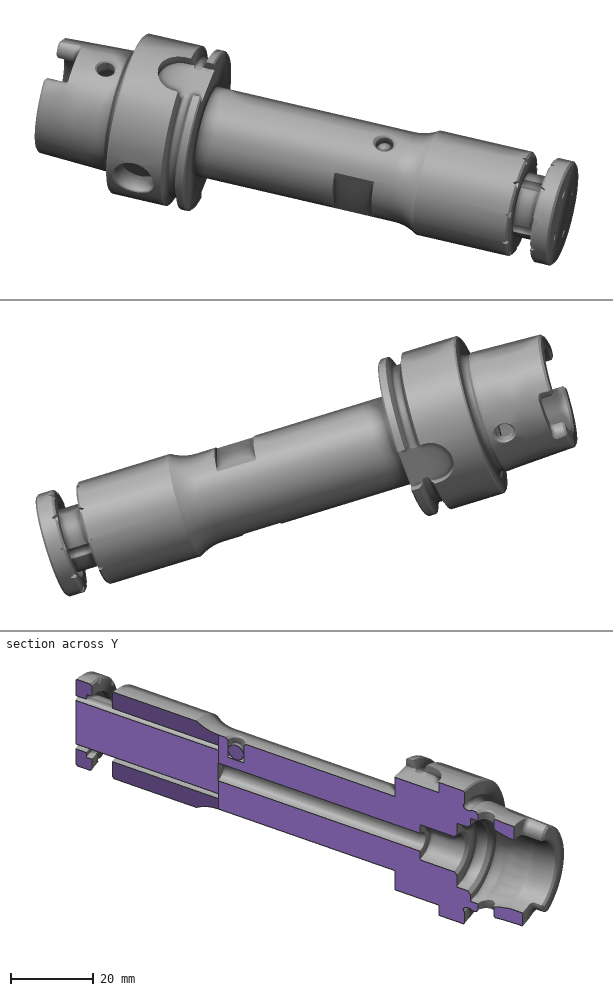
import cadquery as cq
import math

TAPER_END = 18.5
FLANGE_START = 20.0
FLANGE_END = 39.9
SHANK_END = 89.8
FLARE_END = 96.1
SLEEVE_END = 120.0
RING_START = 125.7
OVERALL_LENGTH = 130.4

TAPER_FRONT_R = 14.3
TAPER_REAR_R = 15.1
RELIEF_R = 14.7
FACE_RELIEF_R = 16.3
FACE_RELIEF_DEPTH = 0.4
RELIEF_FILLET = 1.0
EDGE_CHAMFER = 0.5

FLANGE_DIAMETER = 40.0
FLANGE_R = FLANGE_DIAMETER / 2
FLANGE_CHAMFER = 0.4
GROOVE_R = 17.5
GROOVE_CENTER = 35.9
GROOVE_BOTTOM_WIDTH = 1.8
GROOVE_TOP_WIDTH = 3.9
GROOVE_FILLET = 0.4

BORE_R = 10.4
BORE_END = 7.3
UNDERCUT_START = 15.1
UNDERCUT_END = 18.3
UNDERCUT_R = 12.4
SEAT_R = 9.5
SEAT_CHAMFER = BORE_R - SEAT_R
CAVITY_END = 22.2
SCREW_BORE_R = 5.2
SCREW_BORE_CHAMFER = 0.8
SCREW_BORE_END = 32.6
COOLANT_R = 2.6

KEYWAY_HALF_WIDTH = 4.0
KEYWAY_LIP_R = 2.7
KEYWAY_LIP_TOP = 12.9
KEYWAY_CORNER_R = 1.0
TOP_KEYWAY_DEPTH = 6.0
BOTTOM_KEYWAY_DEPTH = 3.5

CROSS_HOLE_X = 14.0
CROSS_HOLE_R = 2.2
COUNTERSINK = 0.7
BALL_X = 84.9
BALL_HOLE_BOTTOM = 5.5

FLANGE_SLOT_R = 5.5
FLANGE_SLOT_FLOOR = 17.0
FLANGE_SLOT_START = 27.4
CHIP_X = 26.9
CHIP_R = 5.1
CHIP_DEPTH = 5.7
CHIP_CHAMFER = 0.3

SHANK_R = 11.2
FLAT_START = 74.8
FLAT_LENGTH = 10.0
FLAT_HALF_WIDTH = 9.0

SLEEVE_R = 13.0
SLEEVE_CHAMFER = 0.5
SPINDLE_R = 8.0
SPINDLE_GROOVE_WIDTH = 2.7
SPINDLE_GROOVE_R = SPINDLE_GROOVE_WIDTH / 2
SPINDLE_GROOVES = 4
RING_RECESS_R = 9.4
RING_RECESS_DEPTH = 1.5
NOTCHES = 10
NOTCH_WIDTH = 1.5
NOTCH_DEPTH = 1.3


def revolve_about_x(profile):
    """Solid of revolution about X from a closed outline of axial and radial positions."""
    return profile.close().revolve(360, (0, 0, 0), (1, 0, 0))


def cylinder_along_x(radius, start, end):
    return cq.Workplane("YZ", origin=(start, 0, 0)).circle(radius).extrude(end - start)


def to_bottom(tool):
    """Turn a cutting tool from the +Z side to the -Z side."""
    return tool.rotate((0, 0, 0), (1, 0, 0), 180)


def holder_blank():
    """Taper, flange and shank outline turned in one piece."""
    relief_end = FLANGE_START + FACE_RELIEF_DEPTH
    fillet_offset = RELIEF_FILLET * (1 - math.sqrt(0.5))
    fillet_middle = (relief_end - fillet_offset, RELIEF_R + fillet_offset)
    profile = (
        cq.Workplane("XY")
        .moveTo(0, 0)
        .lineTo(0, TAPER_FRONT_R)
        .lineTo(TAPER_END - EDGE_CHAMFER, TAPER_REAR_R)
        .lineTo(TAPER_END, RELIEF_R)
        .lineTo(relief_end - RELIEF_FILLET, RELIEF_R)
        .threePointArc(fillet_middle, (relief_end, RELIEF_R + RELIEF_FILLET))
        .lineTo(FLANGE_START, FACE_RELIEF_R)
        .lineTo(FLANGE_START, FLANGE_R - FLANGE_CHAMFER)
        .lineTo(FLANGE_START + FLANGE_CHAMFER, FLANGE_R)
        .lineTo(FLANGE_END - FLANGE_CHAMFER, FLANGE_R)
        .lineTo(FLANGE_END, FLANGE_R - FLANGE_CHAMFER)
        .lineTo(FLANGE_END, SHANK_R)
        .lineTo(SHANK_END, SHANK_R)
        .lineTo(SHANK_END, 0)
    )
    return revolve_about_x(profile)


def gripper_groove():
    """V-shaped ring groove with a flat bottom and small rounded bottom corners."""
    bottom_half = GROOVE_BOTTOM_WIDTH / 2
    top_half = GROOVE_TOP_WIDTH / 2
    profile = (
        cq.Workplane("XY")
        .moveTo(GROOVE_CENTER - bottom_half, GROOVE_R)
        .lineTo(GROOVE_CENTER + bottom_half, GROOVE_R)
        .lineTo(GROOVE_CENTER + top_half, FLANGE_R)
        .lineTo(GROOVE_CENTER - top_half, FLANGE_R)
    )
    groove = revolve_about_x(profile)
    bottom_edges = cq.selectors.RadiusNthSelector(0)
    return groove.edges(bottom_edges).fillet(GROOVE_FILLET)


def clamping_cavity():
    """Stepped cavity with an undercut, ending in a coolant channel through the shank."""
    profile = (
        cq.Workplane("XY")
        .moveTo(0, 0)
        .lineTo(0, BORE_R)
        .lineTo(BORE_END, BORE_R)
        .lineTo(UNDERCUT_START, UNDERCUT_R)
        .lineTo(UNDERCUT_END, UNDERCUT_R)
        .lineTo(UNDERCUT_END, BORE_R)
        .lineTo(UNDERCUT_END + SEAT_CHAMFER, SEAT_R)
        .lineTo(CAVITY_END, SEAT_R)
        .lineTo(CAVITY_END, SCREW_BORE_R + SCREW_BORE_CHAMFER)
        .lineTo(CAVITY_END + SCREW_BORE_CHAMFER, SCREW_BORE_R)
        .lineTo(SCREW_BORE_END, SCREW_BORE_R)
        .lineTo(SCREW_BORE_END, COOLANT_R)
        .lineTo(SHANK_END, COOLANT_R)
        .lineTo(SHANK_END, 0)
    )
    return revolve_about_x(profile)


def keyway(depth):
    """Keyway at +Z whose side walls round outwards into the outside of the taper."""
    lip_start = KEYWAY_LIP_TOP - KEYWAY_LIP_R
    lip_half_width = KEYWAY_HALF_WIDTH + KEYWAY_LIP_R
    arc_offset = KEYWAY_LIP_R * (1 - math.sqrt(0.5))
    arc_y = KEYWAY_HALF_WIDTH + arc_offset
    arc_z = KEYWAY_LIP_TOP - arc_offset
    outer_half_width = TAPER_REAR_R
    tool = (
        cq.Workplane("YZ")
        .moveTo(-KEYWAY_HALF_WIDTH, 0)
        .lineTo(KEYWAY_HALF_WIDTH, 0)
        .lineTo(KEYWAY_HALF_WIDTH, lip_start)
        .threePointArc((arc_y, arc_z), (lip_half_width, KEYWAY_LIP_TOP))
        .lineTo(outer_half_width, KEYWAY_LIP_TOP)
        .lineTo(outer_half_width, FLANGE_R)
        .lineTo(-outer_half_width, FLANGE_R)
        .lineTo(-outer_half_width, KEYWAY_LIP_TOP)
        .lineTo(-lip_half_width, KEYWAY_LIP_TOP)
        .threePointArc((-arc_y, arc_z), (-KEYWAY_HALF_WIDTH, lip_start))
        .close()
        .extrude(depth)
    )
    side_walls = cq.selectors.BoxSelector(
        (depth - EDGE_CHAMFER, -lip_half_width, lip_start / 4),
        (depth + EDGE_CHAMFER, lip_half_width, KEYWAY_LIP_TOP),
    )
    return tool.edges(side_walls).fillet(KEYWAY_CORNER_R)


def countersunk_hole(x, bottom, surface_radius):
    """Hole along Z whose countersink opens at the given surface radius."""
    profile = (
        cq.Workplane("XZ", origin=(x, 0, 0))
        .moveTo(0, bottom)
        .lineTo(CROSS_HOLE_R, bottom)
        .lineTo(CROSS_HOLE_R, surface_radius - COUNTERSINK)
        .lineTo(CROSS_HOLE_R + COUNTERSINK, surface_radius)
        .lineTo(0, surface_radius)
        .close()
    )
    return profile.revolve(360, (0, 0, 0), (0, 1, 0))


def flange_slot():
    """Round-ended slot at +Z that runs out through the shank side of the flange."""
    arc_center = FLANGE_SLOT_START + FLANGE_SLOT_R
    length = FLANGE_END - arc_center
    height = FLANGE_R - FLANGE_SLOT_FLOOR
    base = cq.Workplane("XY", origin=(arc_center, 0, FLANGE_SLOT_FLOOR))
    rounded_end = base.circle(FLANGE_SLOT_R).extrude(height)
    straight_part = base.center(length / 2, 0).rect(length, 2 * FLANGE_SLOT_R).extrude(height)
    return rounded_end.union(straight_part)


def chip_recess():
    """Flat-bottomed round recess on the -Y side of the flange."""
    return (
        cq.Workplane("XZ", origin=(CHIP_X, CHIP_DEPTH - FLANGE_R, 0))
        .circle(CHIP_R)
        .extrude(CHIP_DEPTH)
    )


def wrench_flat(side):
    """Material outside one of the two wrench flats; side is +1 for +Y and -1 for -Y."""
    depth = SHANK_R - FLAT_HALF_WIDTH
    center = (FLAT_START + FLAT_LENGTH / 2, side * (FLAT_HALF_WIDTH + depth / 2), 0)
    return cq.Workplane("XY", origin=center).box(FLAT_LENGTH, depth, 2 * SHANK_R)


def make_holder():
    """Tool holder with its taper, flange and shank features cut into the turned blank."""
    holder = holder_blank().cut(gripper_groove()).cut(clamping_cavity())
    holder = holder.cut(keyway(TOP_KEYWAY_DEPTH))
    holder = holder.cut(to_bottom(keyway(BOTTOM_KEYWAY_DEPTH)))
    holder = holder.faces("<X").edges().chamfer(EDGE_CHAMFER)
    taper_slope = (TAPER_REAR_R - TAPER_FRONT_R) / TAPER_END
    taper_radius = TAPER_FRONT_R + taper_slope * (CROSS_HOLE_X + CROSS_HOLE_R + COUNTERSINK)
    cross_hole = countersunk_hole(CROSS_HOLE_X, 0, taper_radius)
    holder = holder.cut(cross_hole).cut(to_bottom(cross_hole))
    holder = holder.cut(flange_slot()).cut(to_bottom(flange_slot()))
    holder = holder.cut(chip_recess())
    chip_mouth = cq.selectors.NearestToPointSelector((CHIP_X, -FLANGE_R, 0))
    holder = holder.edges(chip_mouth).chamfer(CHIP_CHAMFER)
    for side in (1, -1):
        holder = holder.cut(wrench_flat(side))
    return holder.cut(countersunk_hole(BALL_X, BALL_HOLE_BOTTOM, SHANK_R))


def make_ball():
    """Ball resting on the bottom of its hole in the shank."""
    center = (BALL_X, 0, BALL_HOLE_BOTTOM + CROSS_HOLE_R)
    return cq.Workplane("XY", origin=center).sphere(CROSS_HOLE_R)


def cut_notches(body, face_x, direction):
    """V notches around the rim of an end face; direction is the way they enter along X."""
    notch = (
        cq.Workplane("XZ", origin=(face_x, NOTCH_DEPTH - SLEEVE_R, 0))
        .moveTo(0, -NOTCH_WIDTH / 2)
        .lineTo(direction * NOTCH_DEPTH, 0)
        .lineTo(0, NOTCH_WIDTH / 2)
        .close()
        .extrude(NOTCH_DEPTH)
    )
    for index in range(NOTCHES):
        angle = index * 360 / NOTCHES
        body = body.cut(notch.rotate((0, 0, 0), (1, 0, 0), angle))
    return body


def make_sleeve():
    """Bored sleeve that flares from the shank radius through a tangent arc."""
    flare_length = FLARE_END - SHANK_END
    flare_rise = SLEEVE_R - SHANK_R
    flare_radius = (flare_length**2 + flare_rise**2) / (2 * flare_rise)
    middle = flare_length / 2
    middle_rise = flare_radius - math.sqrt(flare_radius**2 - middle**2)
    profile = (
        cq.Workplane("XY")
        .moveTo(SHANK_END, SPINDLE_R)
        .lineTo(SHANK_END, SHANK_R)
        .threePointArc((SHANK_END + middle, SHANK_R + middle_rise), (FLARE_END, SLEEVE_R))
        .lineTo(SLEEVE_END - SLEEVE_CHAMFER, SLEEVE_R)
        .lineTo(SLEEVE_END, SLEEVE_R - SLEEVE_CHAMFER)
        .lineTo(SLEEVE_END, SPINDLE_R)
    )
    return cut_notches(revolve_about_x(profile), SLEEVE_END, -1)


def make_ring():
    """Front ring with a shallow recess around the spindle on its rear face."""
    ring = cylinder_along_x(SLEEVE_R, RING_START, OVERALL_LENGTH)
    ring = ring.faces("<X or >X").edges().chamfer(SLEEVE_CHAMFER)
    ring = ring.cut(cylinder_along_x(SPINDLE_R, RING_START, OVERALL_LENGTH))
    ring = ring.cut(cylinder_along_x(RING_RECESS_R, RING_START, RING_START + RING_RECESS_DEPTH))
    return cut_notches(ring, RING_START, 1)


def make_spindle():
    """Spindle joining sleeve and ring, with round grooves along its whole length."""
    spindle = cylinder_along_x(SPINDLE_R, SHANK_END, OVERALL_LENGTH)
    groove = cylinder_along_x(SPINDLE_GROOVE_R, SHANK_END, OVERALL_LENGTH).translate((0, 0, SPINDLE_R))
    for index in range(SPINDLE_GROOVES):
        angle = index * 360 / SPINDLE_GROOVES
        spindle = spindle.cut(groove.rotate((0, 0, 0), (1, 0, 0), angle))
    return spindle


holder = make_holder()
ball = make_ball()
sleeve = make_sleeve()
spindle = make_spindle()
ring = make_ring()

result = cq.Compound.makeCompound([holder.val(), ball.val(), sleeve.val(), spindle.val(), ring.val()])